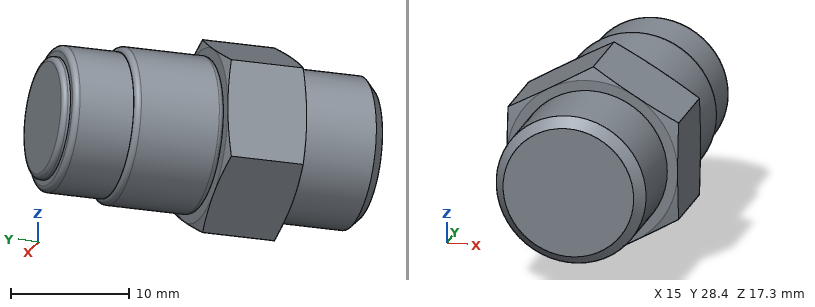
import cadquery as cq
import math

overall_length = 28.4
front_length = 7.38
hex_length = 7.05
collar_length = 7.98
barrel_length = 5.3

hex_start = front_length
hex_end = hex_start + hex_length
collar_end = hex_end + collar_length
barrel_end = collar_end + barrel_length

hex_across_flats = 15.0
front_radius = 6.6
collar_radius = 6.75
barrel_radius = 6.28

front_chamfer = 0.85
hex_chamfer_angle = 15.0
edge_round = 0.5

tip_radius = 5.25
tip_round = 0.45


def cylinder(radius, start, end):
    """Solid cylinder on the Y axis between two axial positions."""
    base = cq.Workplane("XZ", origin=(0, start, 0))
    return base.circle(radius).extrude(start - end)


def revolve_profile(points):
    """Revolve a closed (radius, Y) outline about the Y axis."""
    return cq.Workplane("XY").polyline(points).close().revolve(360, (0, 0, 0), (0, 1, 0))


def chamfered_hexagon():
    """Hexagon with corners on +Z and -Z, its corners turned off conically at both ends."""
    flat_radius = hex_across_flats / 2
    corner_radius = flat_radius / math.cos(math.radians(30))
    corner_drop = (corner_radius - flat_radius) * math.tan(math.radians(hex_chamfer_angle))
    prism = (
        cq.Workplane("XZ", origin=(0, hex_start, 0))
        .transformed(rotate=(0, 0, 90))
        .polygon(6, 2 * corner_radius)
        .extrude(-hex_length)
    )
    turned_envelope = revolve_profile([
        (0, hex_start),
        (flat_radius, hex_start),
        (corner_radius, hex_start + corner_drop),
        (corner_radius, hex_end - corner_drop),
        (flat_radius, hex_end),
        (0, hex_end),
    ])
    return prism.intersect(turned_envelope)


front = cylinder(front_radius, 0, hex_start).faces("<Y").chamfer(front_chamfer)
collar = cylinder(collar_radius, hex_end, collar_end).edges("%CIRCLE").fillet(edge_round)
barrel = cylinder(barrel_radius, collar_end, barrel_end).faces(">Y").edges().fillet(edge_round)
tip = cylinder(tip_radius, barrel_end, overall_length).faces(">Y").edges().fillet(tip_round)

result = front.union(chamfered_hexagon()).union(collar).union(barrel).union(tip)